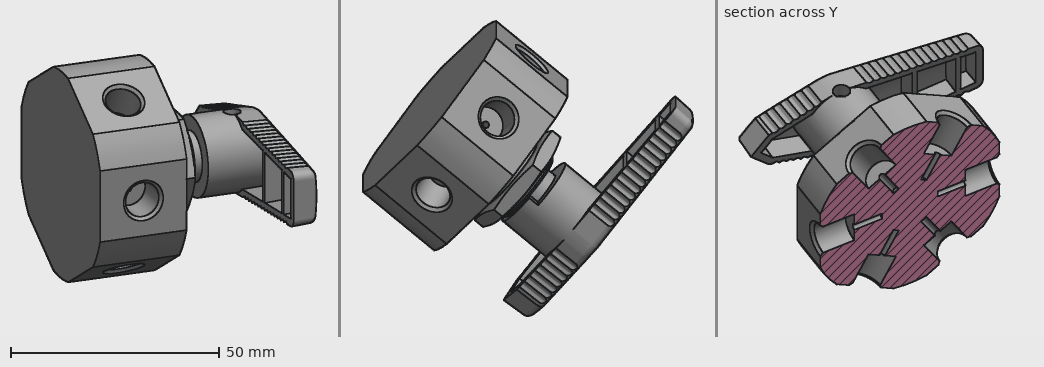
import cadquery as cq
import math

block_flats = 49.55
block_corner_dia = 52.75
block_height = 22.45
port_count = 6
port_dia = 8.65
port_mouth_dia = 10.25
port_depth = 9.4
port_height = block_height / 2
passage_dia = 1.6
passage_end = 7.7
neck_dia = 19.1
neck_top = 31.2
neck_chamfer = 0.6
nut_bottom = 25.65
nut_top = 29.7
nut_flats = 25.0
nut_chamfer_dia = 23.7
nut_chamfer_angle = 15.0
stem_dia = 12.7
stem_top = 49.9

stop_bottom = 31.3
stop_bore_dia = 13.8
hub_bottom = 34.1
hub_dia = 20.2
hub_radius = hub_dia / 2
grip_bottom = 44.35
grip_top = 52.7
selection_level = (grip_bottom + grip_top) / 2 + 0.65
tip_length = 25.0
lever_length = 64 - tip_length
tip_flare = 15.5
lever_taper = 4.8
draft = 2.5
crown_radius = 48.0
tip_slope = 1.2
lever_slope = 2.7
end_radius = 2.0
top_radius = 1.7
wall = 2.0
rib_centers = (20.15, 32.1)
rib_thickness = 1.4
groove_flank = 30.0
groove_floor = 0.65
lever_grooves = 14
lever_groove_span = 28.2
groove_pitch = lever_groove_span / lever_grooves
lever_groove_start = 6.0
tip_grooves = 7
tip_groove_start = 2.95
screw_dia = 4.2
screw_height = 44.4


def level(height):
    """Workplane facing +Y at the given height; its local Y points to -Z."""
    return cq.Workplane(cq.Plane(origin=(0, height, 0), xDir=(1, 0, 0), normal=(0, 1, 0)))


def cylinder(diameter, bottom, top):
    return level(bottom).circle(diameter / 2).extrude(top - bottom)


def hexagon(flats, bottom, top):
    """Hexagonal prism; two of its corners lie on the X axis."""
    return level(bottom).polygon(6, flats / math.cos(math.pi / 6)).extrude(top - bottom)


def make_block():
    hex_block = hexagon(block_flats, 0, block_height).rotate((0, 0, 0), (0, 1, 0), 30)
    return hex_block.intersect(cylinder(block_corner_dia, 0, block_height))


def make_port(index):
    """Drilled port with a chamfered mouth and a fine blind passage."""
    face = block_flats / 2
    floor = face - port_depth
    mouth = face - (port_mouth_dia - port_dia) / 2
    profile = [
        (passage_end, 0),
        (passage_end, passage_dia / 2),
        (floor, passage_dia / 2),
        (floor, port_dia / 2),
        (mouth, port_dia / 2),
        (face, port_mouth_dia / 2),
        (face, 0),
    ]
    port = cq.Workplane("XY").polyline(profile).close().revolve(360, (0, 0, 0), (1, 0, 0))
    port = port.translate((0, port_height, 0))
    return port.rotate((0, 0, 0), (0, 1, 0), index * 360 / port_count)


def make_nut():
    """Hexagon nut with its corners turned down on both faces."""
    corner = nut_flats / math.sqrt(3)
    drop = (corner - nut_chamfer_dia / 2) * math.tan(math.radians(nut_chamfer_angle))
    profile = [
        (0, nut_bottom),
        (nut_chamfer_dia / 2, nut_bottom),
        (corner, nut_bottom + drop),
        (corner, nut_top - drop),
        (nut_chamfer_dia / 2, nut_top),
        (0, nut_top),
    ]
    turned = cq.Workplane("XY").polyline(profile).close().revolve(360, (0, 0, 0), (0, 1, 0))
    return hexagon(nut_flats, nut_bottom, nut_top).intersect(turned)


def make_valve_body():
    neck = cylinder(neck_dia, block_height, neck_top).faces(">Y").chamfer(neck_chamfer)
    stem = cylinder(stem_dia, neck_top, stem_top)
    body = make_block().union(neck).union(make_nut()).union(stem)
    for index in range(port_count):
        body = body.cut(make_port(index))
    return body


def grip_outline(inset):
    """Grip outline at its lower rim: a round hub with a pointed end and a lever."""
    radius = hub_radius - inset
    flare = math.radians(tip_flare)
    taper = math.radians(lever_taper)
    tip = tip_length - inset * math.sqrt(2)
    end = lever_length - inset
    facet_x = (radius - tip * math.cos(flare)) / (math.cos(flare) - math.sin(flare))
    facet = (facet_x, facet_x + tip)
    tip_tangent = (-radius * math.sin(flare), radius * math.cos(flare))
    lever_tangent = (radius * math.sin(taper), radius * math.cos(taper))
    end_corner = (end, (radius - end * math.sin(taper)) / math.cos(taper))

    def mirrored(point):
        return (point[0], -point[1])

    return (
        level(grip_bottom)
        .moveTo(-tip, 0)
        .lineTo(*facet)
        .lineTo(*tip_tangent)
        .threePointArc((0, radius), lever_tangent)
        .lineTo(*end_corner)
        .lineTo(*mirrored(end_corner))
        .lineTo(*mirrored(lever_tangent))
        .threePointArc((0, -radius), mirrored(tip_tangent))
        .lineTo(*mirrored(facet))
        .close()
    )


def crown_limit(top):
    """Space under two crossing cylinders that fall away from the hub to both ends."""
    reach = 2 * lever_length
    axis = cq.Workplane("YZ", origin=(-reach, 0, 0)).circle(crown_radius).extrude(2 * reach)
    tip_side = axis.rotate((0, 0, 0), (0, 0, 1), tip_slope)
    lever_side = axis.rotate((0, 0, 0), (0, 0, 1), -lever_slope)
    return tip_side.intersect(lever_side).translate((0, top - crown_radius, 0))


def edges_within(x_from, x_to, y_from, y_to, half_width):
    """Selects the edges whose centres lie in a box that is symmetric about Z = 0."""
    return cq.selectors.BoxSelector((x_from, y_from, -half_width), (x_to, y_to, half_width))


def make_grip_blank():
    """Solid grip with rounded lever corners, a crowned top and a rounded top edge."""
    blank = grip_outline(0).extrude(grip_top - grip_bottom, taper=draft)

    lever_end = edges_within(
        lever_length - end_radius, lever_length, grip_bottom + 0.65, grip_top - 0.65, hub_radius
    )
    blank = blank.edges(lever_end).fillet(end_radius)
    blank = blank.intersect(crown_limit(grip_top))

    above_walls = edges_within(-tip_length, lever_length, selection_level, grip_top + 0.65, hub_radius)
    ridge_half_width = 0.75 * hub_radius
    crown_ridge = edges_within(
        -hub_radius / 2, hub_radius / 2, selection_level, grip_top + 0.65, ridge_half_width
    )
    return blank.edges(above_walls - crown_ridge).fillet(top_radius)


def make_groove_row(start, direction, count, side_angle):
    """Upright V grooves with rounded bottoms, cut into the +Z side.

    The side is first taken parallel to X, touching the hub at X = 0, and then turned
    about the stem axis. The grooves lean with the draft of the side.
    """
    flank = math.radians(groove_flank)
    half_pitch = groove_pitch / 2
    half_floor = groove_floor / 2
    flank_depth = (half_pitch - half_floor) * math.tan(flank)
    depth = flank_depth + half_floor * math.tan(flank / 2)
    groove = (
        level(grip_bottom)
        .moveTo(-half_pitch, -hub_radius)
        .lineTo(-half_floor, flank_depth - hub_radius)
        .threePointArc((0, depth - hub_radius), (half_floor, flank_depth - hub_radius))
        .lineTo(half_pitch, -hub_radius)
        .close()
        .extrude(grip_top - grip_bottom)
        .rotate((0, grip_bottom, hub_radius), (1, grip_bottom, hub_radius), -draft)
    )
    row = []
    for index in range(count):
        middle = direction * (start + (index + 0.5) * groove_pitch)
        row.append(groove.translate((middle, 0, 0)).rotate((0, 0, 0), (0, 1, 0), side_angle))
    return row


def cut_finger_grooves(grip):
    lever_row = make_groove_row(lever_groove_start, 1, lever_grooves, lever_taper)
    tip_row = make_groove_row(tip_groove_start, -1, tip_grooves, -tip_flare)
    for groove in lever_row + tip_row:
        grip = grip.cut(groove).cut(groove.mirror("XY"))
    return grip


def make_pocket():
    """Hollow under the grip; cross ribs and the hub stay solid."""
    pocket = grip_outline(wall).extrude(grip_top - grip_bottom, taper=draft)
    pocket = pocket.intersect(crown_limit(grip_top - wall))
    for center in rib_centers:
        rib = cq.Workplane("XY").box(rib_thickness, 2 * grip_top, hub_dia)
        pocket = pocket.cut(rib.translate((center, grip_top, 0)))
    return pocket.cut(cylinder(hub_dia, grip_bottom, grip_top))


def make_hub():
    """Round hub that carries a quarter-turn stop lug in the -X, -Z quarter."""
    hub = cylinder(hub_dia, hub_bottom, grip_bottom)
    ring = cylinder(hub_dia, stop_bottom, hub_bottom).cut(cylinder(stop_bore_dia, stop_bottom, hub_bottom))
    quarter = level(stop_bottom).rect(-hub_dia, hub_dia, centered=False).extrude(hub_bottom - stop_bottom)
    return hub.union(ring.intersect(quarter))


def make_handle():
    screw_hole = cq.Workplane("XY", origin=(0, screw_height, 0)).circle(screw_dia / 2).extrude(hub_dia)
    grip = cut_finger_grooves(make_grip_blank()).cut(make_pocket())
    handle = grip.union(make_hub())
    return handle.cut(cylinder(stem_dia, hub_bottom, stem_top)).cut(screw_hole)


valve_body = make_valve_body()
handle = make_handle()
result = cq.Compound.makeCompound([valve_body.val(), handle.val()])